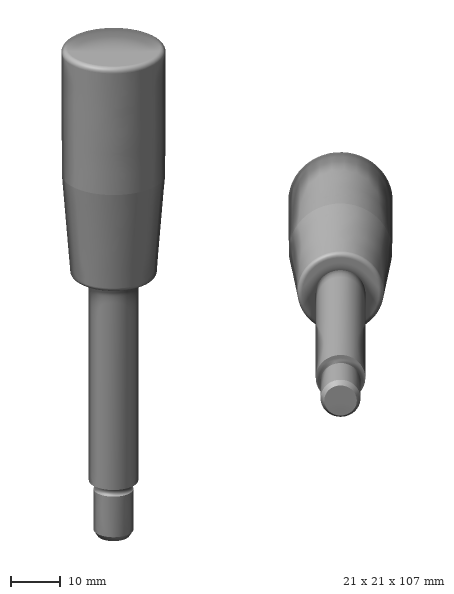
import cadquery as cq
import math

total_height = 107.0
grip_bottom = 57.0
taper_top = 79.2
shoulder_height = 12.0

grip_top_diameter = 21.0
grip_taper_diameter = 20.8
grip_bottom_diameter = 17.2
shank_diameter = 10.0
stud_diameter = 8.0
groove_diameter = 6.6
tip_diameter = 6.5

grip_top_radius = 1.1
grip_bottom_radius = 1.0
groove_arc_radius = 1.0
tip_chamfer_height = 1.2


def make_grip():
    """Slightly conical grip with a steeper lower taper and rounded end edges."""
    profile = (
        cq.Workplane("XZ")
        .moveTo(0, grip_bottom)
        .lineTo(grip_bottom_diameter / 2, grip_bottom)
        .lineTo(grip_taper_diameter / 2, taper_top)
        .lineTo(grip_top_diameter / 2, total_height)
        .lineTo(0, total_height)
        .close()
    )
    grip = profile.revolve(360, (0, 0, 0), (0, 1, 0))
    grip = grip.faces(">Z").edges().fillet(grip_top_radius)
    return grip.faces("<Z").edges().fillet(grip_bottom_radius)


def make_spindle():
    """Shank and stud, with a round-bottomed relief groove under the shank shoulder."""
    groove_radius = groove_diameter / 2
    stud_radius = stud_diameter / 2
    arc_center_radius = groove_radius + groove_arc_radius
    arc_center_height = shoulder_height - groove_arc_radius
    arc_drop = math.sqrt(groove_arc_radius**2 - (arc_center_radius - stud_radius) ** 2)
    profile = (
        cq.Workplane("XZ")
        .lineTo(tip_diameter / 2, 0)
        .lineTo(stud_radius, tip_chamfer_height)
        .lineTo(stud_radius, arc_center_height - arc_drop)
        .threePointArc((groove_radius, arc_center_height), (arc_center_radius, shoulder_height))
        .lineTo(shank_diameter / 2, shoulder_height)
        .lineTo(shank_diameter / 2, grip_bottom)
        .lineTo(0, grip_bottom)
        .close()
    )
    return profile.revolve(360, (0, 0, 0), (0, 1, 0))


result = make_grip().union(make_spindle())